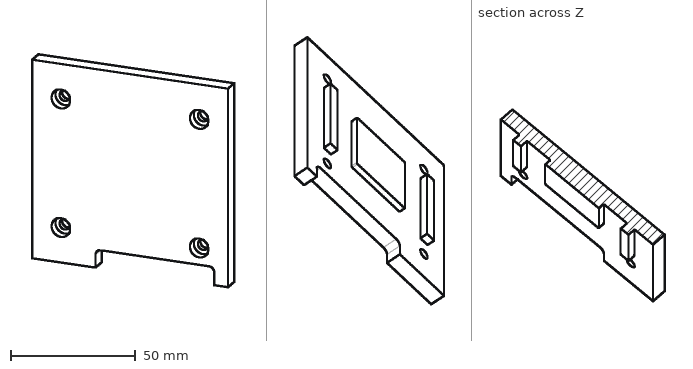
import cadquery as cq

PLATE_SIZE = 85.0
PLATE_THICKNESS = 6.75
OVERALL_DEPTH = 10.25
HALF_PLATE = PLATE_SIZE / 2

HOLE_SPACING_X = 60.0
HOLE_SPACING_Z = 55.0
HOLE_DIAMETER = 4.4
COUNTERBORE_DIAMETER = 8.0
COUNTERBORE_DEPTH = 4.0

NOTCH_LEFT = 27.5
NOTCH_WIDTH = 51.5
NOTCH_HEIGHT = 7.75
NOTCH_RADIUS = 2.25

RIB_WIDTH = 4.4
RIB_LENGTH = 39.0
RIB_SPACING = HOLE_SPACING_X
RIB_HEIGHT = OVERALL_DEPTH - PLATE_THICKNESS
BLOCK_WIDTH = 30.0
BLOCK_LENGTH = 30.0
BLOCK_CORNER_RADIUS = 0.5
BLOCK_HEIGHT = 2.75


def plane_facing_back(y):
    """XZ workplane at depth y whose extrusions run towards +Y (local y is -Z)."""
    return cq.Workplane(cq.Plane(origin=(0, y, 0), xDir=(1, 0, 0), normal=(0, 1, 0)))


def make_plate():
    return plane_facing_back(0).rect(PLATE_SIZE, PLATE_SIZE).extrude(PLATE_THICKNESS)


def make_notch():
    """Opening through the bottom edge, with its two upper corners rounded."""
    center_x = -HALF_PLATE + NOTCH_LEFT + NOTCH_WIDTH / 2
    center_z = -HALF_PLATE + NOTCH_HEIGHT / 2
    block = cq.Workplane("XY").box(NOTCH_WIDTH, PLATE_THICKNESS, NOTCH_HEIGHT)
    block = block.edges("|Y and >Z").fillet(NOTCH_RADIUS)
    return block.translate((center_x, PLATE_THICKNESS / 2, center_z))


def make_holes():
    """Four through holes, counterbored from the front face."""
    def drill(diameter, depth):
        pattern = plane_facing_back(0).rect(HOLE_SPACING_X, HOLE_SPACING_Z, forConstruction=True)
        return pattern.vertices().circle(diameter / 2).extrude(depth)

    bores = drill(HOLE_DIAMETER, PLATE_THICKNESS)
    return bores.union(drill(COUNTERBORE_DIAMETER, COUNTERBORE_DEPTH))


def make_ribs():
    """Two upright ribs, in line with the hole columns."""
    centers = [(-RIB_SPACING / 2, 0), (RIB_SPACING / 2, 0)]
    ribs = plane_facing_back(PLATE_THICKNESS).pushPoints(centers)
    return ribs.rect(RIB_WIDTH, RIB_LENGTH).extrude(RIB_HEIGHT)


def make_block():
    """Central block with softened corners."""
    block = plane_facing_back(PLATE_THICKNESS).rect(BLOCK_WIDTH, BLOCK_LENGTH).extrude(BLOCK_HEIGHT)
    return block.edges("|Y").fillet(BLOCK_CORNER_RADIUS)


result = make_plate().cut(make_notch()).cut(make_holes()).union(make_ribs()).union(make_block())